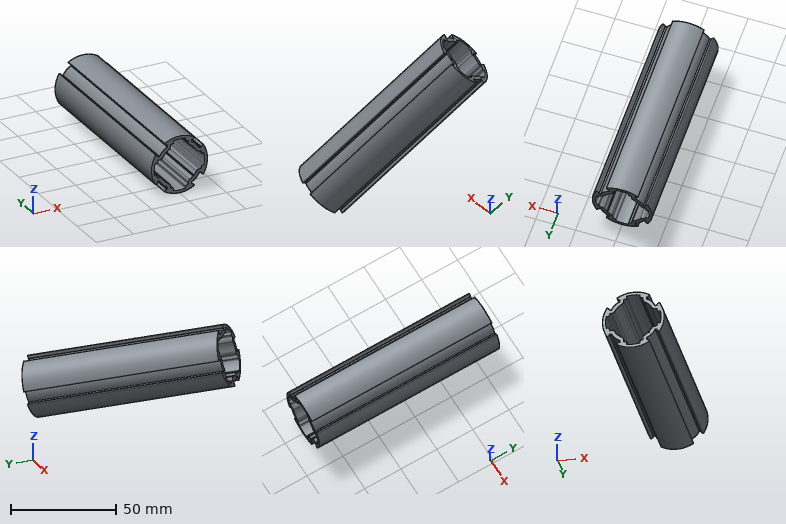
import cadquery as cq
import math

length = 100.0
outer_radius = 15.0

recess_radius = 13.5
recess_half_width = 3.2
ledge_radius = 12.3
ledge_half_width = 4.7
web_bore_radius = 10.6

slot_half_width = 3.25
slot_lip_distance = 13.05
slot_corner_reach = 11.5
slot_corner_level = 6.5
slot_floor_crown = 12.6
slot_floor_edge = 10.65

bore_corner_fillet = 1.5
recess_edge_fillet = 0.2
slot_tip_fillet = 0.25

mark_half_width = 0.3
mark_depth = 0.3
mark_angle = 45.0

quarter_angles = (0, 90, 180, 270)
match_tolerance = 0.01


def cylinder(radius):
    return cq.Workplane("XZ").circle(radius).extrude(length)


def crossed_bars(half_width, reach):
    """Two crossed bars, 2 * half_width wide, with ends rounded to a cylinder of radius reach."""
    bar_length = 2 * outer_radius
    bar_x = cq.Workplane("XZ").rect(bar_length, 2 * half_width).extrude(length)
    bar_z = cq.Workplane("XZ").rect(2 * half_width, bar_length).extrude(length)
    return bar_x.union(bar_z).intersect(cylinder(reach))


def point_on_circle(radius, offset):
    """Point of a centred circle at a given distance from the X axis."""
    return (math.sqrt(radius**2 - offset**2), offset)


def from_diagonal(along, across):
    """Turn a distance along the +X +Z diagonal and one across it into X and Z."""
    return ((along + across) / math.sqrt(2), (along - across) / math.sqrt(2))


def round_edges(body, corner, radius):
    """Fillet the eight lengthwise edges that share a corner point by symmetry."""

    def is_at_corner(edge):
        center = edge.Center()
        folded = sorted((abs(center.x), abs(center.z)), reverse=True)
        return math.dist(folded, corner) < match_tolerance

    edges = [edge for edge in body.edges("|Y").vals() if is_at_corner(edge)]
    return body.newObject(edges).fillet(radius)


def bore():
    """Round bore widened by the two steps of the side recesses."""
    body = (
        cylinder(web_bore_radius)
        .union(crossed_bars(ledge_half_width, ledge_radius))
        .union(crossed_bars(recess_half_width, recess_radius))
    )
    web_corner = point_on_circle(web_bore_radius, ledge_half_width)
    body = round_edges(body, web_corner, bore_corner_fillet)
    for radius, offset in (
        (ledge_radius, ledge_half_width),
        (ledge_radius, recess_half_width),
        (recess_radius, recess_half_width),
    ):
        body = round_edges(body, point_on_circle(radius, offset), recess_edge_fillet)
    return body


def slot():
    """Undercut slot on the +X +Z diagonal, with a crowned floor."""
    side = [
        from_diagonal(outer_radius, slot_half_width),
        from_diagonal(slot_lip_distance, slot_half_width),
        (slot_corner_reach, slot_corner_level),
        (slot_floor_edge, slot_corner_level),
    ]
    mirrored_side = [(z, x) for x, z in reversed(side)]
    outer_middle = from_diagonal(outer_radius + slot_half_width, 0)
    return (
        cq.Workplane("XZ")
        .polyline(side)
        .threePointArc(from_diagonal(slot_floor_crown, 0), mirrored_side[0])
        .polyline(mirrored_side)
        .lineTo(*outer_middle)
        .close()
        .extrude(length)
    )


def bore_mark():
    """V groove in the bore wall, drawn on +X and turned to its diagonal."""
    mouth = web_bore_radius - mark_depth
    mouth_half_width = 2 * mark_half_width
    return (
        cq.Workplane("XZ")
        .moveTo(mouth, -mouth_half_width)
        .lineTo(web_bore_radius + mark_depth, 0)
        .lineTo(mouth, mouth_half_width)
        .close()
        .extrude(length)
        .rotate((0, 0, 0), (0, 1, 0), mark_angle)
    )


result = cylinder(outer_radius)
for angle in quarter_angles:
    result = result.cut(slot().rotate((0, 0, 0), (0, 1, 0), angle))

tip_distance = math.sqrt(outer_radius**2 - slot_half_width**2)
result = round_edges(result, from_diagonal(tip_distance, slot_half_width), slot_tip_fillet)
result = result.cut(bore()).cut(bore_mark())